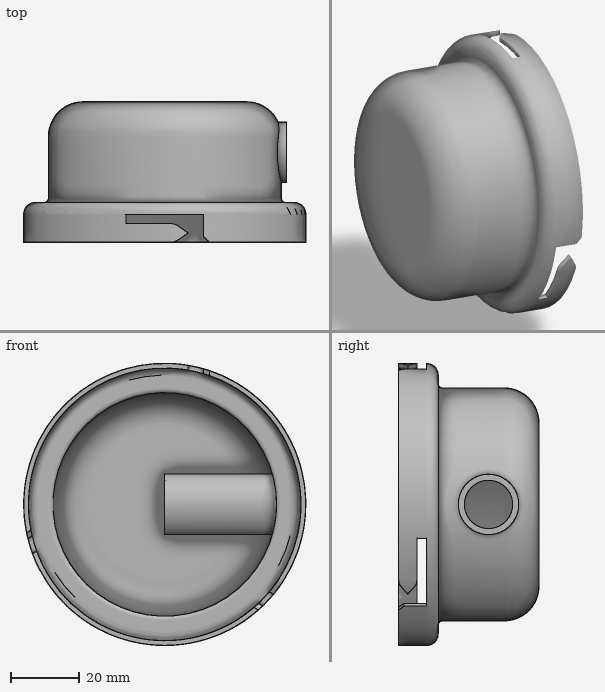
import cadquery as cq

wall = 1.4
rim_radius = 41.25
body_radius = 34.1
total_depth = 41.1
rim_straight_depth = 8.2
rim_round = 3.5
dome_round = 10.2
neck_round = 1.2

tube_outer_diameter = 17.65
tube_inner_diameter = 14.1
tube_end_x = 35.6
tube_center_y = 26.3

cutout_count = 3
slot_start_x = -11.4
slot_front_y = 5.45
tongue_shoulder_x = 1.7
tongue_bend_x = 4.1
tongue_tip_x = 6.85
tongue_bend_inset = 0.8
entry_wall_x = 11.4
entry_chamfer = 1.65

shoulder_y = rim_straight_depth + rim_round
ledge_y = shoulder_y - wall
floor_y = total_depth - wall
cavity_radius = body_radius - wall
rim_inner_radius = rim_radius - wall


def revolved_cup(rim_r, body_r, shoulder, depth, rim_fillet, neck, dome_fillet):
    """Solid stepped cup: rim, rounded shoulder, concave neck, body, domed end."""
    half_profile = (
        cq.Workplane("XY")
        .lineTo(rim_r, 0)
        .lineTo(rim_r, shoulder - rim_fillet)
        .radiusArc((rim_r - rim_fillet, shoulder), -rim_fillet)
        .lineTo(body_r + neck, shoulder)
        .radiusArc((body_r, shoulder + neck), neck)
        .lineTo(body_r, depth - dome_fillet)
        .radiusArc((body_r - dome_fillet, depth), -dome_fillet)
        .lineTo(0, depth)
        .close()
    )
    return half_profile.revolve(360, (0, 0, 0), (0, 1, 0))


def tube_cylinder(diameter):
    """Cylinder from the cap axis out through the side wall."""
    return (
        cq.Workplane("YZ")
        .center(tube_center_y, 0)
        .circle(diameter / 2)
        .extrude(tube_end_x)
    )


def bayonet_cutout():
    """Entry gap and narrow slot that leave a pointed tongue on the rim."""
    return (
        cq.Workplane("XY")
        .workplane(offset=cavity_radius)
        .moveTo(slot_start_x, rim_straight_depth)
        .lineTo(slot_start_x, slot_front_y)
        .lineTo(tongue_shoulder_x, slot_front_y)
        .tangentArcPoint((tongue_bend_x, slot_front_y - tongue_bend_inset), relative=False)
        .lineTo(tongue_tip_x, slot_front_y / 2)
        .lineTo(tongue_bend_x, tongue_bend_inset)
        .threePointArc(
            ((tongue_shoulder_x + tongue_bend_x) / 2, tongue_bend_inset / 4),
            (tongue_shoulder_x, 0),
        )
        .lineTo(entry_wall_x + entry_chamfer, 0)
        .lineTo(entry_wall_x, entry_chamfer)
        .lineTo(entry_wall_x, rim_straight_depth)
        .close()
        .extrude(rim_radius - cavity_radius)
    )


outside = revolved_cup(
    rim_radius, body_radius, shoulder_y, total_depth, rim_round, neck_round, dome_round
)
inside = revolved_cup(
    rim_inner_radius, cavity_radius, ledge_y, floor_y, rim_round - wall, neck_round, dome_round - wall
)
result = outside.cut(inside)

result = result.union(tube_cylinder(tube_outer_diameter))
result = result.cut(tube_cylinder(tube_inner_diameter))

for index in range(cutout_count):
    turn = index * 360 / cutout_count
    result = result.cut(bayonet_cutout().rotate((0, 0, 0), (0, 1, 0), turn))